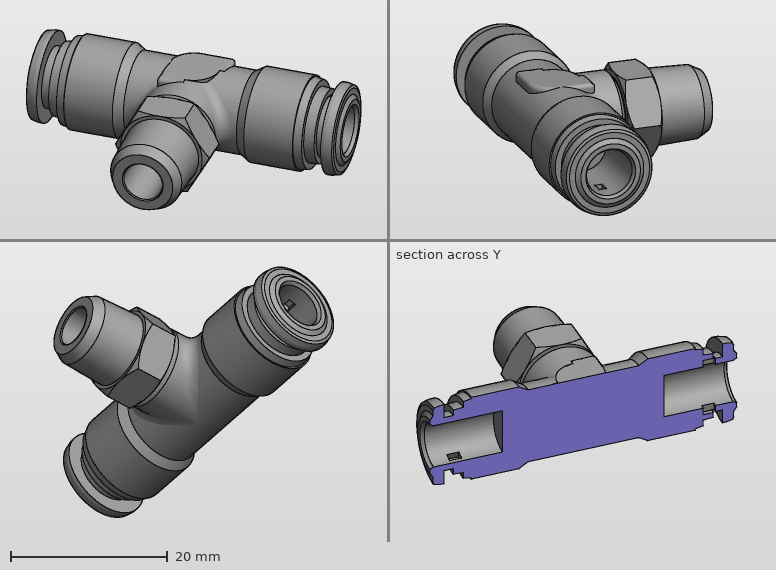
import cadquery as cq
import math

body_radius = 5.5
corner_fillet = 1.5

run_half_length = 21.1
shoulder_start = 7.6
socket_start = 8.85
socket_end = 15.4
retainer_end = 16.5
collar_end = 17.88
flange_inner = 19.12
flange_crown = 19.65
flange_rim = 20.55
flange_face = 20.68
socket_radius = 6.25
retainer_inner_radius = 6.05
retainer_outer_radius = 5.83
collar_radius = 5.0
collar_lip_radius = 4.9
neck_radius = 4.08
flange_radius = 6.03
flange_rim_radius = 5.83
flange_face_radius = 5.45
nose_base_radius = 4.66
nose_tip_radius = 4.05

tube_bore_radius = 3.1
tube_mouth_radius = 3.39
tube_lead_depth = 0.5
tube_bore_depth = 10.0

slit_width = 1.0
slit_end = 18.15
collet_rolls = {-1: 0.0, 1: -19.0}

branch_chamfer_start = 7.5
branch_end = 8.1
branch_end_radius = 4.75
nut_start = 8.2
nut_end = 12.85
stud_end = 20.25
tip_length = 1.4
stud_radius = 5.02
stud_taper_radius = 4.79
stud_tip_radius = 4.05

nut_across_flats = 11.0
nut_roll = 1.5
nut_chamfer_radial = 0.85
nut_chamfer_axial = 0.5

stud_bore_radius = 2.6
stud_bore_chamfer = 0.15
stud_bore_depth = 10.0

pad_top = 5.52
pad_near_side = 3.5
pad_far_side = 4.55
pad_depth = 2.5
pad_edge_radius = 0.55


def cylinder_x(radius, start, end):
    return cq.Workplane("YZ").workplane(offset=start).circle(radius).extrude(end - start)


def revolve_x(points):
    """Turn an (x, radius) outline about the X axis."""
    outline = cq.Workplane("XY").polyline(points).close()
    return outline.revolve(360, (0, 0, 0), (1, 0, 0))


def revolve_branch(points):
    """Turn a (radius, distance) outline about the branch axis, distance running toward -Y."""
    outline = cq.Workplane("XY").polyline([(radius, -distance) for radius, distance in points]).close()
    return outline.revolve(360, (0, 0, 0), (0, 1, 0))


def make_tee():
    """Two equal crossing cylinders with the corners between them rounded."""
    run = cylinder_x(body_radius, -socket_start, socket_start)
    branch = revolve_branch([
        (0, 0),
        (body_radius, 0),
        (body_radius, branch_end),
        (0, branch_end),
    ])
    tee = run.union(branch)
    branch_side = cq.selectors.BoxSelector(
        (-body_radius, -body_radius, -body_radius),
        (body_radius, 0, body_radius),
    )
    tee = tee.edges(branch_side).edges("%ELLIPSE").fillet(corner_fillet)
    return tee.faces("<Y").chamfer(branch_end - branch_chamfer_start, body_radius - branch_end_radius)


def make_pad():
    """Flat pad with square corners over two quadrants and round corners over the other two.

    Both square corners and the top edge are rounded, except for the edge around the +X -Y quadrant.
    """
    arc_middle = pad_near_side * math.sqrt(0.5)
    pad = (
        cq.Workplane("XY", origin=(0, 0, pad_top - pad_depth))
        .moveTo(0, pad_near_side)
        .lineTo(pad_far_side, pad_near_side)
        .lineTo(pad_far_side, 0)
        .lineTo(pad_near_side, 0)
        .threePointArc((arc_middle, -arc_middle), (0, -pad_near_side))
        .lineTo(0, -pad_far_side)
        .lineTo(-pad_near_side, -pad_far_side)
        .lineTo(-pad_near_side, 0)
        .threePointArc((-arc_middle, arc_middle), (0, pad_near_side))
        .close()
        .extrude(pad_depth)
    )
    reach = pad_far_side + pad_edge_radius
    sharp_quadrant = cq.selectors.BoxSelector(
        (-pad_edge_radius, -reach, 0),
        (reach, pad_edge_radius, reach + pad_top),
    )
    square_corners = pad.edges("|Z").edges(">(1, 1, 0) or <(1, 1, 0)")
    top_edges = pad.faces(">Z").edges(-sharp_quadrant)
    return top_edges.add(square_corners).fillet(pad_edge_radius)


def make_socket():
    """Socket, retainer ring and release collet on the +X end."""
    return revolve_x([
        (shoulder_start, 0),
        (shoulder_start, body_radius),
        (socket_start, socket_radius),
        (socket_end, socket_radius),
        (socket_end, retainer_inner_radius),
        (retainer_end, retainer_outer_radius),
        (retainer_end, collar_radius),
        (collar_end, collar_lip_radius),
        (collar_end, neck_radius),
        (flange_inner, neck_radius),
        (flange_inner, flange_radius),
        (flange_crown, flange_radius),
        (flange_rim, flange_rim_radius),
        (flange_face, flange_face_radius),
        (flange_face, nose_base_radius),
        (run_half_length, nose_tip_radius),
        (run_half_length, 0),
    ])


def make_tube_bore():
    """Blind tube bore with a tapered mouth, for the +X end."""
    floor = run_half_length - tube_bore_depth
    return revolve_x([
        (floor, 0),
        (floor, tube_bore_radius),
        (run_half_length - tube_lead_depth, tube_bore_radius),
        (run_half_length, tube_mouth_radius),
        (run_half_length, 0),
    ])


def make_slits():
    """Two opposite slits through the neck wall, running from the neck back under the collar."""
    slit = cq.Workplane("XY").box(
        slit_end - retainer_end,
        slit_width,
        2 * neck_radius,
        centered=(False, True, True),
    ).translate((retainer_end, 0, 0))
    return slit.intersect(cylinder_x(neck_radius, retainer_end, slit_end))


def make_nut():
    """Hexagon with conical chamfers on both ends."""
    corner_radius = nut_across_flats / 2 / math.cos(math.pi / 6)
    hexagon = (
        cq.Workplane("XZ", origin=(0, -nut_start, 0))
        .polygon(6, 2 * corner_radius)
        .extrude(nut_end - nut_start)
        .rotate((0, 0, 0), (0, 1, 0), -nut_roll)
    )
    chamfer_envelope = revolve_branch([
        (0, nut_start),
        (corner_radius - nut_chamfer_radial, nut_start),
        (corner_radius, nut_start + nut_chamfer_axial),
        (corner_radius, nut_end - nut_chamfer_axial),
        (corner_radius - nut_chamfer_radial, nut_end),
        (0, nut_end),
    ])
    return hexagon.intersect(chamfer_envelope)


def make_stud():
    """Neck joining branch and nut, then the tapered stud with its conical tip."""
    neck = revolve_branch([
        (0, 0),
        (branch_end_radius, 0),
        (branch_end_radius, nut_end),
        (0, nut_end),
    ])
    taper = revolve_branch([
        (0, nut_end),
        (stud_radius, nut_end),
        (stud_taper_radius, stud_end - tip_length),
        (stud_tip_radius, stud_end),
        (0, stud_end),
    ])
    return neck.union(taper)


def make_stud_bore():
    """Blind bore with a small chamfer at its mouth."""
    return revolve_branch([
        (0, stud_end),
        (stud_bore_radius + stud_bore_chamfer, stud_end),
        (stud_bore_radius, stud_end - stud_bore_chamfer),
        (stud_bore_radius, stud_end - stud_bore_depth),
        (0, stud_end - stud_bore_depth),
    ])


def place_on_end(shape, side):
    """Roll a +X end feature to its collet angle and, for side -1, move it to the -X end."""
    rolled = shape.rotate((0, 0, 0), (1, 0, 0), collet_rolls[side])
    if side > 0:
        return rolled
    return rolled.mirror("YZ")


result = make_tee().union(make_pad()).union(make_stud()).union(make_nut())
for end_side in collet_rolls:
    result = result.union(place_on_end(make_socket(), end_side))
    result = result.cut(place_on_end(make_tube_bore(), end_side))
    result = result.cut(place_on_end(make_slits(), end_side))
result = result.cut(make_stud_bore())